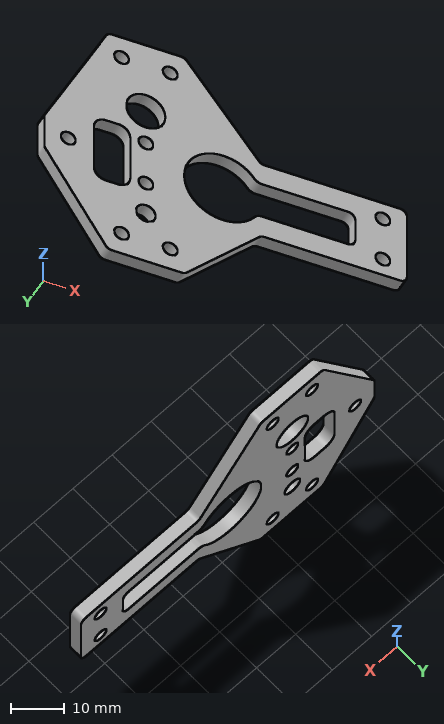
import cadquery as cq

length = 75.0
thickness = 3.0
height = 54.0
top_z = 29.5
bottom_z = top_z - height
nose_half_height = 4.0
flat_left_x = 13.1
flat_right_x = 29.0
arm_start_x = 44.85
arm_half_height = 9.0
corner_radius = 1.5

keyhole_x = 37.0
keyhole_diameter = 16.05
slot_end_x = 64.3
slot_width = 8.0
slot_corner_radius = 1.5
keyhole_blend_radius = 2.0

window_x = 14.0
window_width = 7.5
window_height = 15.0
window_corner_radius = 2.5

screw_diameter = 3.0
screw_half_pitch = 5.0
hole_column_x = 21.0
nose_hole_x = 4.95
arm_hole_x = 70.0
edge_hole_inset = 5.0
large_hole_z = 13.0
large_hole_diameter = 8.0
medium_hole_z = -12.5
medium_hole_diameter = 4.0


def prism(sketch):
    """Extrude an XZ sketch through the plate, centred on Y = 0."""
    return sketch.extrude(thickness / 2, both=True)


def slab(x_start, x_end, slab_height):
    """Rectangular prism centred on the arm centreline."""
    sketch = cq.Workplane("XZ").center((x_start + x_end) / 2, 0).rect(x_end - x_start, slab_height)
    return prism(sketch)


def round_holes(points, diameter):
    return prism(cq.Workplane("XZ").pushPoints(points).circle(diameter / 2))


def make_plate():
    outline = [
        (0, nose_half_height),
        (flat_left_x, top_z),
        (flat_right_x, top_z),
        (arm_start_x, arm_half_height),
        (length, arm_half_height),
        (length, -arm_half_height),
        (arm_start_x, -arm_half_height),
        (flat_right_x, bottom_z),
        (flat_left_x, bottom_z),
        (0, -nose_half_height),
    ]
    plate = prism(cq.Workplane("XZ").polyline(outline).close())
    return plate.edges("|Y").fillet(corner_radius)


def make_keyhole():
    bore = round_holes([(keyhole_x, 0)], keyhole_diameter)
    slot = slab(keyhole_x, slot_end_x, slot_width)
    keyhole = bore.union(slot)
    keyhole = keyhole.edges("|Y and >X").fillet(slot_corner_radius)
    neck_x = keyhole_x + ((keyhole_diameter / 2) ** 2 - (slot_width / 2) ** 2) ** 0.5
    neck = cq.selectors.BoxSelector(
        (neck_x - 0.75, -thickness, -slot_width), (neck_x + 0.75, thickness, slot_width)
    )
    return keyhole.edges("|Y").edges(neck).fillet(keyhole_blend_radius)


def make_window():
    window = slab(window_x - window_width / 2, window_x + window_width / 2, window_height)
    return window.edges("|Y").fillet(window_corner_radius)


screw_points = [(nose_hole_x, 0)]
for side in (-screw_half_pitch, screw_half_pitch):
    screw_points += [
        (hole_column_x, side),
        (arm_hole_x, side),
        (hole_column_x + side, top_z - edge_hole_inset),
        (hole_column_x + side, bottom_z + edge_hole_inset),
    ]

result = (
    make_plate()
    .cut(make_keyhole())
    .cut(make_window())
    .cut(round_holes(screw_points, screw_diameter))
    .cut(round_holes([(hole_column_x, large_hole_z)], large_hole_diameter))
    .cut(round_holes([(hole_column_x, medium_hole_z)], medium_hole_diameter))
)